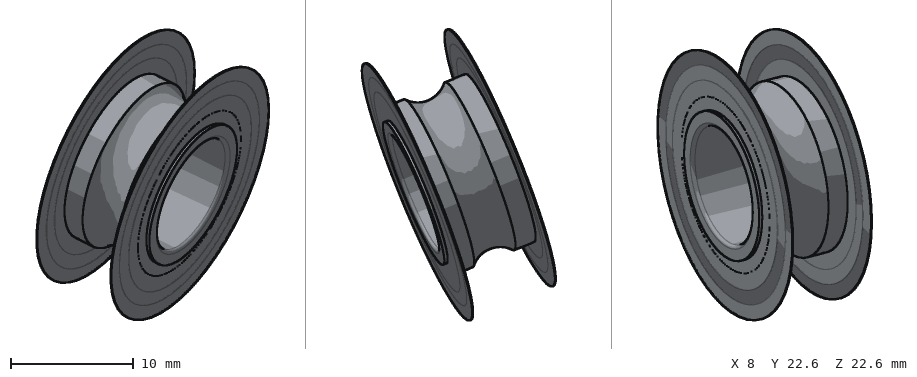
import cadquery as cq

outer_radius = 11.3
half_length = 4.0

bore_radius = 5.0
bore_fillet = 0.3
hub_radius = 6.28

body_radius = 7.4
groove_floor_radius = 6.55
groove_half_width = 1.83

flange_outer_x = 3.7
flange_thickness = 0.1
crease_depth = 0.07
crease_start_radius = 8.8
crease_radius = 10.03

flange_inner_x = flange_outer_x - flange_thickness


def revolve_about_x(profile):
    """Revolve an (x, radius) profile a full turn about the X axis."""
    return profile.close().revolve(360, (0, 0, 0), (1, 0, 0))


def make_core():
    """Hub ends and grooved body as one solid of revolution."""
    profile = (
        cq.Workplane("XY")
        .moveTo(-half_length, 0)
        .lineTo(-half_length, hub_radius)
        .lineTo(-flange_inner_x, hub_radius)
        .lineTo(-flange_inner_x, body_radius)
        .lineTo(-groove_half_width, body_radius)
        .threePointArc((0, groove_floor_radius), (groove_half_width, body_radius))
        .lineTo(flange_inner_x, body_radius)
        .lineTo(flange_inner_x, hub_radius)
        .lineTo(half_length, hub_radius)
        .lineTo(half_length, 0)
    )
    return revolve_about_x(profile)


def make_flange(side):
    """Creased plate at the end given by side (-1 or +1)."""
    outer_x = side * flange_outer_x
    inner_x = side * flange_inner_x
    crease_shift = side * crease_depth
    profile = (
        cq.Workplane("XY")
        .moveTo(outer_x, 0)
        .lineTo(outer_x, crease_start_radius)
        .lineTo(outer_x - crease_shift, crease_radius)
        .lineTo(outer_x, outer_radius)
        .lineTo(inner_x, outer_radius)
        .lineTo(inner_x - crease_shift, crease_radius)
        .lineTo(inner_x, crease_start_radius)
        .lineTo(inner_x, 0)
    )
    return revolve_about_x(profile)


def cut_bore(body):
    """Through bore with a rounded edge at both ends."""
    bore = cq.Workplane("YZ", origin=(-half_length, 0, 0)).circle(bore_radius).extrude(2 * half_length)
    bored = body.cut(bore)
    bore_edges = cq.selectors.RadiusNthSelector(0)
    return bored.faces("<X or >X").edges(bore_edges).fillet(bore_fillet)


roller = make_core()
for side in (-1, 1):
    roller = roller.union(make_flange(side))

result = cut_bore(roller)